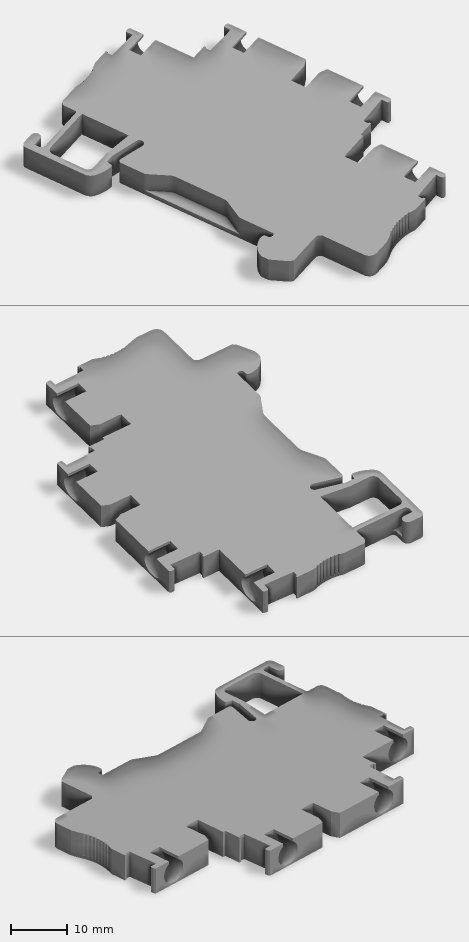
import cadquery as cq
import math


length = 68.15
height = 45.85
thickness = 5.2

rail_y = 6.0
left_base_y = 12.55
right_base_y = 10.3
lower_deck_y = 35.3
lower_left_x = 0.0
lower_right_x = 67.95
tower_left_x = 14.0
tower_right_x = 49.5
left_skirt_x = 0.4
left_corner_r = 1.0
right_corner_r = 1.65
right_skirt_y = 15.1

left_grip_top_y = 24.4
left_grip_blend_r = 2.05
left_grip_mid = (0.8, 20.45)
left_grip_bottom_y = 17.7
right_grip_top_y = 24.9
right_grip_mid = (67.05, 20.45)
right_grip_bottom = (67.8, 16.55)
grip_floor = 0.6
groove_pitch = 0.8
groove_width = 0.3
groove_depth = 0.24
left_groove_count = 7
left_groove_middle_y = 21.05
right_groove_count = 8
right_groove_middle_y = 20.6

hook_drop = 7.4
hook_lip = 1.15
hook_inset = 0.2
hook_reach_top = 1.7
hook_reach_bottom = 1.5
hook_corner = 0.4
hook_under_bevel = 0.15
cut_margin = 0.7
ledge_stop_width = 0.4
ledge_stop_height = 0.3

notch_width = 3.15
notch_bevel_width = 0.7
notch_bevel_height = 1.6
upper_notch_x = 31.6
upper_notch_depth = 5.9
lower_notch_x = 50.0
lower_notch_depth = 6.2

channel_length = 4.7
hole_height = 4.35
hole_width = 5.0
slot_width = 2.5
upper_channel_x = (19.55, 44.4)
lower_channel_x = (4.6, 62.9)

rail_recess_floor = 1.0
rail_recess_x = (22.75, 42.8)
rail_recess_roof_x = (27.2, 38.5)
rail_recess_roof_y = 8.4
rail_recess_roof_r = 2.25
rail_recess_mouth_r = 1.2

spring_left_x = 4.0
spring_wall = 1.0
spring_root_r = 0.35
spring_bend_y = 6.7
spring_top_x = 16.9
window_floor_y = 1.2
window_top_x = 15.0
window_right_x = 14.2
window_corner_r = 1.2

nose_bottom_x = 13.8
nose_heel = (15.6, 1.1)
nose_belly = (16.35, 2.65)
nose_tip = (16.7, 4.2)
nose_round = (16.55, 4.65)
nose_top = (16.2, 4.7)
nose_root_y = 4.9

hook_left_x = 0.35
hook_top_y = 4.15
hook_outer_r = 1.0
pull_gap_x = 2.25
pull_gap_floor_y = 1.4
pull_gap_r = 0.9
pull_web_r = 0.8
pull_web_thickness = 1.0

gap_foot_x = 15.4
gap_right_x = 17.05
gap_top_center = (17.7, 11.9)
gap_radius = 0.8
gap_corner_r = 0.7
gap_corner_width = 0.55

foot_throat_x = 50.1
throat_round = (50.3, 5.4)
throat_bottom = (49.9, 4.8)
claw_top = (48.9, 4.7)
claw_tip = (48.7, 4.2)
claw_belly = (49.55, 1.5)
foot_bottom_x = (51.45, 52.95)
foot_slope_top = (56.2, 1.65)
foot_right_x = 56.85
foot_right_bottom_y = 2.25
foot_inner_r = 1.0
foot_overlap = 0.7


def plate(outline, floor=0.0, top=thickness):
    """Solid from a closed 2D outline between two heights."""
    return outline.close().extrude(top - floor).translate((0, 0, floor))


def polygon(points, floor=0.0, top=thickness):
    """Solid from straight-sided outline points between two heights."""
    return plate(cq.Workplane("XY").polyline(points), floor, top)


def round_upright_edge(body, x, y, radius, z=thickness / 2):
    """Fillet the edge parallel to Z whose middle is nearest to a point."""
    nearest = cq.selectors.NearestToPointSelector((x, y, z))
    return body.edges("|Z").edges(nearest).fillet(radius)


def housing():
    """Body of the two decks, with rounded lower corners and both finger grips."""
    outline = (
        cq.Workplane("XY")
        .moveTo(left_skirt_x, left_base_y)
        .lineTo(left_skirt_x, left_grip_bottom_y)
        .threePointArc(left_grip_mid, (lower_left_x, left_grip_top_y))
        .lineTo(lower_left_x, lower_deck_y)
        .lineTo(tower_left_x, lower_deck_y)
        .lineTo(tower_left_x, height)
        .lineTo(tower_right_x, height)
        .lineTo(tower_right_x, lower_deck_y)
        .lineTo(lower_right_x, lower_deck_y)
        .lineTo(lower_right_x, right_grip_top_y)
        .threePointArc(right_grip_mid, right_grip_bottom)
        .lineTo(length, right_skirt_y)
        .lineTo(length, right_base_y)
        .lineTo(foot_right_x, right_base_y)
        .lineTo(foot_right_x, rail_y)
        .lineTo(gap_foot_x, rail_y)
        .lineTo(gap_foot_x, left_base_y)
    )
    body = plate(outline)
    body = round_upright_edge(body, left_skirt_x, left_base_y, left_corner_r)
    body = round_upright_edge(body, lower_left_x, left_grip_top_y, left_grip_blend_r)
    return round_upright_edge(body, length, right_base_y, right_corner_r)


def hook_recess(side_x, inward, deck_y):
    """Cutter that leaves a marker hook at a deck end; inward is +1 or -1 along X."""
    def at(depth, drop):
        return (side_x + inward * depth, deck_y - drop)

    return polygon([
        at(-cut_margin, -cut_margin),
        at(hook_corner, -cut_margin),
        at(hook_corner, 0),
        at(hook_inset, hook_corner),
        at(hook_inset, hook_lip - hook_under_bevel),
        at(hook_corner, hook_lip),
        at(hook_reach_top, hook_lip),
        at(hook_reach_bottom, hook_drop),
        at(ledge_stop_width, hook_drop),
        at(ledge_stop_width, hook_drop - ledge_stop_height),
        at(-cut_margin, hook_drop - ledge_stop_height),
    ])


def bridge_notch(left_x, deck_y, depth, left_bevel):
    """Cutter for a bridge notch, bevelled on the right and, if wanted, on the left."""
    right_x = left_x + notch_width
    points = [
        (left_x, deck_y - depth),
        (right_x, deck_y - depth),
        (right_x, deck_y - notch_bevel_height),
        (right_x + notch_bevel_width, deck_y),
    ]
    if left_bevel:
        points += [(left_x - notch_bevel_width, deck_y), (left_x, deck_y - notch_bevel_height)]
    else:
        points += [(left_x, deck_y)]
    return polygon(points)


def wire_channel(center_x, deck_y):
    """Cutter for an obround wire hole running in from the deck and its slot in the top face."""
    hole = (
        cq.Workplane("XZ")
        .center(center_x, thickness / 2)
        .slot2D(hole_width, hole_height)
        .extrude(channel_length)
        .translate((0, deck_y, 0))
    )
    slot = (
        cq.Workplane("XY")
        .box(slot_width, channel_length, thickness / 2, centered=(True, False, False))
        .translate((center_x, deck_y - channel_length, thickness / 2))
    )
    return hole.union(slot)


def grip_grooves(top, middle, bottom, count, middle_y):
    """Cutter of V grooves, evenly spaced in Y about middle_y on the arc through three points."""
    (x1, y1), (x2, y2), (x3, y3) = top, middle, bottom
    d = 2 * (x1 * (y2 - y3) + x2 * (y3 - y1) + x3 * (y1 - y2))
    s1, s2, s3 = (x * x + y * y for x, y in (top, middle, bottom))
    center_x = (s1 * (y2 - y3) + s2 * (y3 - y1) + s3 * (y1 - y2)) / d
    center_y = (s1 * (x3 - x2) + s2 * (x1 - x3) + s3 * (x2 - x1)) / d
    radius = math.hypot(x1 - center_x, y1 - center_y)
    inward = math.copysign(1, x2 - center_x)
    first_y = middle_y - (count - 1) / 2 * groove_pitch
    half = groove_width / 2

    def on_arc(y, depth=0.0):
        return (center_x + inward * (math.sqrt(radius**2 - (y - center_y) ** 2) + depth), y)

    grooves = cq.Workplane("XY")
    for i in range(count):
        y = first_y + i * groove_pitch
        groove = [on_arc(y - half), on_arc(y, groove_depth), on_arc(y + half), on_arc(y, -groove_depth)]
        grooves = grooves.union(polygon(groove, grip_floor))
    return grooves


def spring_foot():
    """Sprung foot: thin wall, bottom bar, leaning arm and the pull hook on the left."""
    hook_tip_r = pull_gap_x - hook_left_x - hook_outer_r
    outline = (
        cq.Workplane("XY")
        .moveTo(spring_left_x - spring_root_r, left_base_y)
        .radiusArc((spring_left_x, left_base_y - spring_root_r), spring_root_r)
        .lineTo(spring_left_x, pull_gap_floor_y + pull_gap_r)
        .radiusArc((spring_left_x - pull_gap_r, pull_gap_floor_y), pull_gap_r)
        .lineTo(pull_gap_x, pull_gap_floor_y)
        .lineTo(pull_gap_x, hook_top_y - hook_tip_r)
        .radiusArc((hook_left_x + hook_outer_r, hook_top_y), -hook_tip_r)
        .radiusArc((hook_left_x, hook_top_y - hook_outer_r), -hook_outer_r)
        .lineTo(hook_left_x, hook_outer_r)
        .radiusArc((hook_left_x + hook_outer_r, 0), -hook_outer_r)
        .lineTo(nose_bottom_x, 0)
        .tangentArcPoint(nose_heel, relative=False)
        .threePointArc(nose_belly, nose_tip)
        .threePointArc(nose_round, nose_top)
        .lineTo(gap_foot_x, nose_root_y)
        .lineTo(gap_foot_x, spring_bend_y)
        .lineTo(spring_top_x, left_base_y)
    )
    foot = plate(outline)
    web_outline = (
        cq.Workplane("XY")
        .moveTo(hook_left_x + hook_outer_r, pull_gap_floor_y)
        .lineTo(hook_left_x + hook_outer_r, hook_top_y)
        .lineTo(spring_left_x - pull_web_r, hook_top_y)
        .radiusArc((spring_left_x, hook_top_y + pull_web_r), -pull_web_r)
        .lineTo(spring_left_x + spring_wall, hook_top_y + pull_web_r)
        .lineTo(spring_left_x + spring_wall, pull_gap_floor_y)
    )
    web = plate(web_outline, 0, pull_web_thickness)
    return foot.union(web)


def spring_window():
    """Cutter for the opening enclosed by the sprung foot."""
    left_x = spring_left_x + spring_wall
    opening = polygon([
        (left_x, left_base_y),
        (left_x, window_floor_y),
        (window_right_x, window_floor_y),
        (window_right_x, spring_bend_y),
        (window_top_x, left_base_y),
    ])
    return opening.edges("|Z and <Y").fillet(window_corner_r)


def slanted_gap():
    """Cutter for the round-ended gap that frees the spring arm."""
    center_x, center_y = gap_top_center
    lean = math.atan2(gap_top_center[0] - gap_right_x + gap_radius, center_y - spring_bend_y)
    dx = gap_radius * math.cos(lean)
    dy = gap_radius * math.sin(lean)
    outline = (
        cq.Workplane("XY")
        .moveTo(gap_foot_x, rail_y)
        .lineTo(gap_foot_x, spring_bend_y)
        .lineTo(center_x - dx, center_y + dy)
        .threePointArc((center_x + dy, center_y + dx), (center_x + dx, center_y - dy))
        .lineTo(gap_right_x, spring_bend_y)
        .radiusArc((gap_right_x + gap_corner_width, rail_y), -gap_corner_r)
    )
    return plate(outline)


def fixed_foot():
    """Rigid foot that grips the right edge of the rail."""
    outline = (
        cq.Workplane("XY")
        .moveTo(foot_throat_x, rail_y + foot_overlap)
        .lineTo(foot_throat_x, rail_y)
        .threePointArc(throat_round, throat_bottom)
        .lineTo(*claw_top)
        .lineTo(*claw_tip)
        .threePointArc(claw_belly, (foot_bottom_x[0], 0))
        .lineTo(foot_bottom_x[1], 0)
        .lineTo(*foot_slope_top)
        .lineTo(foot_right_x, foot_right_bottom_y)
        .lineTo(foot_right_x, right_base_y - foot_inner_r)
        .radiusArc((foot_right_x + foot_inner_r, right_base_y), foot_inner_r)
        .lineTo(foot_right_x + foot_inner_r, right_base_y + foot_overlap)
        .lineTo(foot_throat_x, right_base_y + foot_overlap)
    )
    return plate(outline)


def rail_recess():
    """Cutter for the shallow recess above the rail, with eased roof corners."""
    left_x, right_x = rail_recess_x
    roof_left_x, roof_right_x = rail_recess_roof_x
    recess = polygon(
        [
            (left_x, rail_y),
            (roof_left_x, rail_recess_roof_y),
            (roof_right_x, rail_recess_roof_y),
            (right_x, rail_y),
        ],
        rail_recess_floor,
    )
    return recess.edges("|Z and >Y").fillet(rail_recess_roof_r)


result = housing().union(spring_foot()).union(fixed_foot())
result = result.cut(spring_window()).cut(slanted_gap()).cut(rail_recess())
for mouth_x in rail_recess_x:
    recess_middle_z = (rail_recess_floor + thickness) / 2
    result = round_upright_edge(result, mouth_x, rail_y, rail_recess_mouth_r, recess_middle_z)

for left_side_x, right_side_x, deck_y, channels in (
    (tower_left_x, tower_right_x, height, upper_channel_x),
    (lower_left_x, lower_right_x, lower_deck_y, lower_channel_x),
):
    result = result.cut(hook_recess(left_side_x, 1, deck_y))
    result = result.cut(hook_recess(right_side_x, -1, deck_y))
    for channel_x in channels:
        result = result.cut(wire_channel(channel_x, deck_y))

result = result.cut(bridge_notch(upper_notch_x, height, upper_notch_depth, True))
result = result.cut(bridge_notch(lower_notch_x, lower_deck_y, lower_notch_depth, False))

left_grip = ((lower_left_x, left_grip_top_y), left_grip_mid, (left_skirt_x, left_grip_bottom_y))
right_grip = ((lower_right_x, right_grip_top_y), right_grip_mid, right_grip_bottom)
result = result.cut(grip_grooves(*left_grip, left_groove_count, left_groove_middle_y))
result = result.cut(grip_grooves(*right_grip, right_groove_count, right_groove_middle_y))